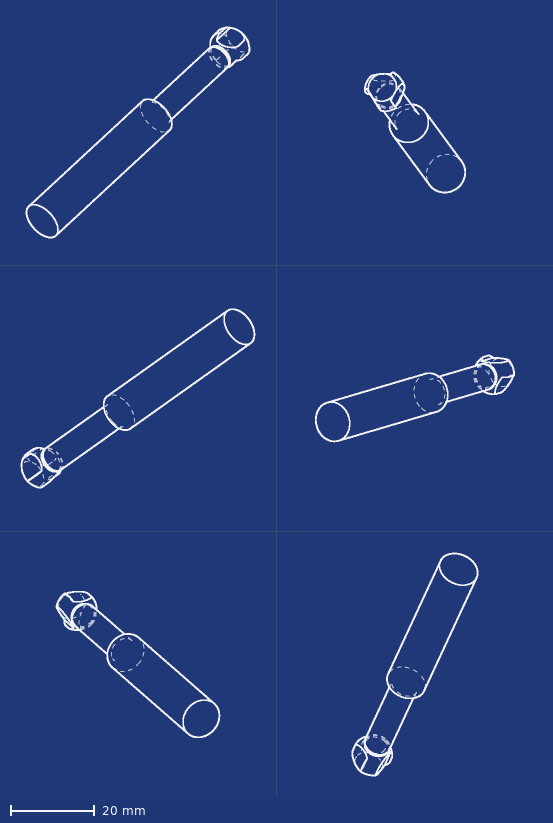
import cadquery as cq
import math

length = 76.2
shank_radius = 4.76
stem_radius = 3.16
neck_radius = 2.93
head_radius = 4.7

shoulder_start = 31.8
neck_end = 7.3
band_start = 2.3
band_end = 3.9

corner_radius = 2.4
corner_angle = math.radians(45)

tooth_count = 3
gap_floor_height = 3.35
gap_floor_edge = -1.9
gap_wall_lean = 0.5
gap_clearance = 3.05


def build_body():
    """Revolve the shank, shoulder, stem, neck and rounded head about Y."""
    tip = length / 2
    shoulder_radius = shank_radius - stem_radius
    arc_depth = corner_radius * math.sin(corner_angle)
    half_angle = corner_angle / 2

    def at(radius, from_tip):
        return (radius, tip - from_tip)

    def corner_point(band_edge, direction, angle):
        radius = head_radius - corner_radius * (1 - math.cos(angle))
        return at(radius, band_edge + direction * corner_radius * math.sin(angle))

    cone_radius = head_radius - corner_radius * (1 - math.cos(corner_angle))
    tip_radius = cone_radius - (band_start - arc_depth)
    cone_end = band_end + arc_depth + cone_radius - neck_radius

    fillet_offset = shoulder_radius * (1 - math.sin(math.radians(45)))
    fillet_middle = at(
        stem_radius + fillet_offset,
        shoulder_start - fillet_offset,
    )

    profile = (
        cq.Workplane("XY")
        .moveTo(0, -length / 2)
        .lineTo(shank_radius, -length / 2)
        .lineTo(*at(shank_radius, shoulder_start))
        .threePointArc(fillet_middle, at(stem_radius, shoulder_start - shoulder_radius))
        .lineTo(*at(stem_radius, neck_end))
        .lineTo(*at(neck_radius, neck_end))
        .lineTo(*at(neck_radius, cone_end))
        .lineTo(*corner_point(band_end, 1, corner_angle))
        .threePointArc(corner_point(band_end, 1, half_angle), at(head_radius, band_end))
        .lineTo(*at(head_radius, band_start))
        .threePointArc(
            corner_point(band_start, -1, half_angle),
            corner_point(band_start, -1, corner_angle),
        )
        .lineTo(*at(tip_radius, 0))
        .lineTo(0, tip)
        .close()
    )
    return profile.revolve(360, (0, 0, 0), (0, 1, 0))


def build_gap():
    """Make the cutter for the upper tooth gap: a flat floor and a leaning wall."""
    outer_height = head_radius + gap_clearance
    outer_side = head_radius + gap_clearance
    wall_shift = gap_wall_lean * (outer_height - gap_floor_height)
    return (
        cq.Workplane("XZ", origin=(0, length / 2, 0))
        .moveTo(gap_floor_edge, gap_floor_height)
        .lineTo(outer_side, gap_floor_height)
        .lineTo(outer_side, outer_height)
        .lineTo(gap_floor_edge - wall_shift, outer_height)
        .close()
        .extrude(neck_end)
    )


result = build_body()
gap = build_gap()
for index in range(tooth_count):
    result = result.cut(gap.rotate((0, 0, 0), (0, 1, 0), index * 360 / tooth_count))